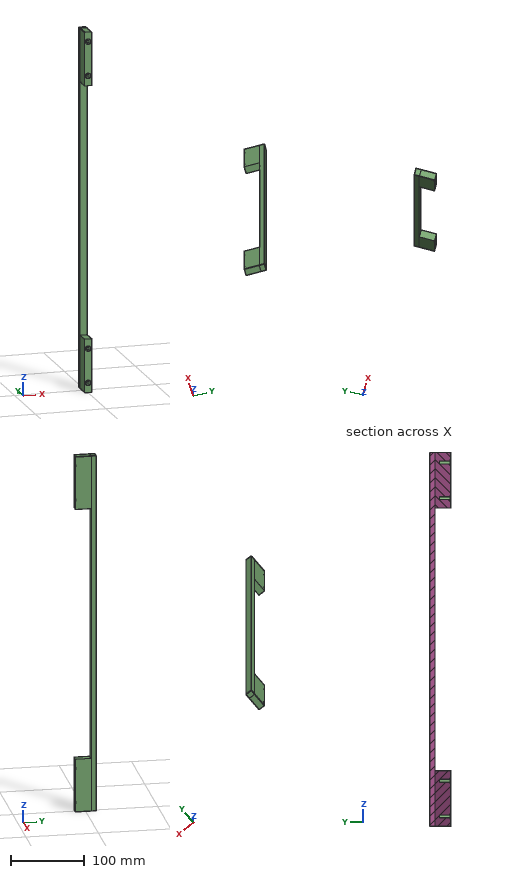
import cadquery as cq

LENGTH = 508.0
WIDTH = 10.0
DEPTH = 29.0

BAR_EDGE_THICKNESS = 7.0
CROWN_HEIGHT = 0.65
END_BEVEL = 0.75
LONG_EDGE_BEVEL = 0.5

FOOT_LENGTH = 75.5
HOLE_PITCH = 48.5
HOLE_DIAMETER = 3.5
HOLE_DEPTH = 15.0
COUNTERBORE_DIAMETER = 7.5
COUNTERBORE_DEPTH = 1.0

HALF_WIDTH = WIDTH / 2
OUTER_Y = DEPTH / 2
MOUNT_Y = -DEPTH / 2
SEAM_EDGE_Y = OUTER_Y - BAR_EDGE_THICKNESS
SEAM_CREST_Y = SEAM_EDGE_Y - CROWN_HEIGHT
FOOT_CENTER_Z = (LENGTH - FOOT_LENGTH) / 2


def crowned_prism(flat_y, length):
    """Extrude along Z the outline between a flat side and the crowned seam of bar and foot."""
    return (
        cq.Workplane("XY")
        .moveTo(-HALF_WIDTH, flat_y)
        .lineTo(HALF_WIDTH, flat_y)
        .lineTo(HALF_WIDTH, SEAM_EDGE_Y)
        .threePointArc((0, SEAM_CREST_Y), (-HALF_WIDTH, SEAM_EDGE_Y))
        .close()
        .extrude(length / 2, both=True)
    )


def end_bevel_envelope():
    """Block as large as the whole part with both long edges of each Z end bevelled."""
    return cq.Workplane("XY").box(WIDTH, DEPTH, LENGTH).edges("|Y").chamfer(END_BEVEL)


def outer_bevel_envelope():
    """Block wider than the part with the outer edge of each Z end bevelled."""
    block = cq.Workplane("XY").box(2 * WIDTH, DEPTH, LENGTH)
    return block.edges("|X and >Y").chamfer(END_BEVEL)


def make_bar():
    """Full-length bar, bevelled along its outer face and around its ends."""
    bar = crowned_prism(OUTER_Y, LENGTH)
    bar = bar.edges("|Z and >Y").chamfer(LONG_EDGE_BEVEL)
    return bar.intersect(end_bevel_envelope()).intersect(outer_bevel_envelope())


def make_foot(end):
    """Foot at the upper (end = 1) or lower (end = -1) end, fitted to the crowned bar."""
    center_z = end * FOOT_CENTER_Z
    foot = crowned_prism(MOUNT_Y, FOOT_LENGTH).translate((0, 0, center_z))
    foot = foot.intersect(end_bevel_envelope())
    hole_places = [(0, HOLE_PITCH / 2), (0, -HOLE_PITCH / 2)]
    return (
        foot.faces("<Y")
        .workplane(origin=(0, MOUNT_Y, center_z))
        .pushPoints(hole_places)
        .cboreHole(HOLE_DIAMETER, COUNTERBORE_DIAMETER, COUNTERBORE_DEPTH, HOLE_DEPTH)
    )


bar = make_bar()
feet = [make_foot(end) for end in (1, -1)]

result = cq.Compound.makeCompound([bar.solids().val(), *[foot.solids().val() for foot in feet]])